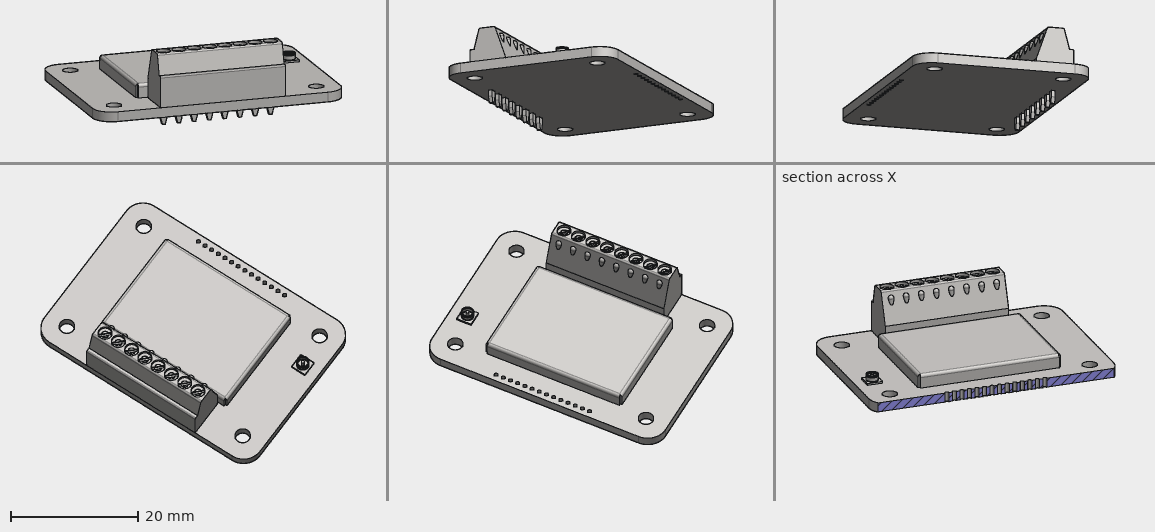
import cadquery as cq


board_width = 29.0
board_length = 41.25
board_thickness = 1.6
board_corner_radius = 3.15
mount_hole_diameter = 2.45
mount_hole_spacing_x = 21.3
mount_hole_spacing_y = 33.68
header_hole_count = 14
header_hole_diameter = 0.6
header_row_length = 16.5
header_row_x = -13.37

can_width = 18.25
can_length = 24.0
can_height = 2.25
can_center_x = -1.07
can_center_y = -0.2
can_bend_radius = 0.5
can_corner_notch = 0.35

total_height = 12.0
block_length = 20.8
block_back_x = 8.3
block_front_x = board_width / 2
block_back_height = 3.15
block_step_height = 5.08
block_step_x = 13.83
block_top_back_x = 10.2
block_top_front_x = 12.9
block_top_round = 0.35
block_step_round = 0.2

terminal_count = 8
terminal_row_length = 17.8
screw_x = 11.55
screw_well_diameter = 2.2
screw_well_depth = 0.5
screw_socket_diameter = 1.1
screw_socket_depth = 0.12
screw_slot_width = 0.4
screw_slot_depth = 0.35
screw_slot_angle = -45

nub_diameter = 1.0
nub_x = 9.85
nub_shoulder_height = 7.15

pin_x = 11.45
pin_thickness = 0.6
pin_width = 1.0
pin_tip_width = 0.45
pin_straight_below_board = 1.0
pin_length_below_board = 2.0

block_height = total_height - pin_length_below_board - board_thickness

connector_x = -4.85
connector_y = 17.62
connector_base_side = 2.55
connector_base_height = 0.3
shell_diameter = 2.0
shell_bore_diameter = 1.7
shell_height = 1.0
shell_groove_diameter = 1.85
shell_groove_bottom = 0.7
shell_groove_top = 0.85
contact_diameter = 0.5


def row_positions(count, row_length):
    """Evenly spaced Y positions of a row centred on the board."""
    pitch = row_length / (count - 1)
    return [i * pitch - row_length / 2 for i in range(count)]


terminal_positions = row_positions(terminal_count, terminal_row_length)


def on_board_top(x, y):
    """Workplane on the board's upper face, centred on x, y."""
    return cq.Workplane("XY", origin=(x, y, board_thickness))


def make_pin(y):
    """Flat solder pin through the board, narrowing in Y towards its tip."""
    taper_z = -pin_straight_below_board
    tip_z = -pin_length_below_board
    return (
        cq.Workplane("YZ", origin=(pin_x - pin_thickness / 2, y, 0))
        .moveTo(-pin_width / 2, board_thickness)
        .lineTo(-pin_width / 2, taper_z)
        .lineTo(-pin_tip_width / 2, tip_z)
        .lineTo(pin_tip_width / 2, tip_z)
        .lineTo(pin_width / 2, taper_z)
        .lineTo(pin_width / 2, board_thickness)
        .close()
        .extrude(pin_thickness)
    )


def make_board():
    """Rounded board with mounting holes, a row of header holes and slots for the pins."""
    board = (
        cq.Workplane("XY")
        .rect(board_width, board_length)
        .extrude(board_thickness)
        .edges("|Z")
        .fillet(board_corner_radius)
    )
    mount_holes = (
        cq.Workplane("XY")
        .rect(mount_hole_spacing_x, mount_hole_spacing_y, forConstruction=True)
        .vertices()
        .circle(mount_hole_diameter / 2)
        .extrude(board_thickness)
    )
    header_holes = (
        cq.Workplane("XY")
        .pushPoints([(header_row_x, y) for y in row_positions(header_hole_count, header_row_length)])
        .circle(header_hole_diameter / 2)
        .extrude(board_thickness)
    )
    pin_slots = (
        cq.Workplane("XY")
        .pushPoints([(pin_x, y) for y in terminal_positions])
        .rect(pin_thickness, pin_width)
        .extrude(board_thickness)
    )
    return board.cut(mount_holes).cut(header_holes).cut(pin_slots)


def make_can():
    """Shield can with bent top edges and square relief notches at its corners."""
    can = (
        on_board_top(can_center_x, can_center_y)
        .rect(can_width, can_length)
        .extrude(can_height)
        .faces(">Z")
        .edges()
        .fillet(can_bend_radius)
    )
    notches = (
        on_board_top(can_center_x, can_center_y)
        .rect(can_width, can_length, forConstruction=True)
        .vertices()
        .rect(2 * can_corner_notch, 2 * can_corner_notch)
        .extrude(can_height)
    )
    return can.cut(notches)


def make_block_housing():
    """Sloped housing of the terminal block, with rounded upper edges."""
    housing = (
        cq.Workplane("XZ", origin=(0, block_length / 2, board_thickness))
        .moveTo(block_back_x, 0)
        .lineTo(block_back_x, block_back_height)
        .lineTo(block_top_back_x, block_height)
        .lineTo(block_top_front_x, block_height)
        .lineTo(block_step_x, block_step_height)
        .lineTo(block_front_x, block_step_height)
        .lineTo(block_front_x, 0)
        .close()
        .extrude(block_length)
    )
    housing = housing.faces(">Z").edges("|Y").fillet(block_top_round)
    step_edge = cq.selectors.NearestToPointSelector((block_front_x, 0, board_thickness + block_step_height))
    return housing.edges(step_edge).fillet(block_step_round)


def make_screw_recess(y):
    """Round well in the housing top, with a shallow centre socket and a diagonal slot in its floor."""
    top_z = board_thickness + block_height
    floor = cq.Workplane("XY", origin=(screw_x, y, top_z - screw_well_depth))
    well = floor.circle(screw_well_diameter / 2).extrude(screw_well_depth)
    socket = floor.circle(screw_socket_diameter / 2).extrude(-screw_socket_depth)
    slot = (
        floor.transformed(rotate=(0, 0, screw_slot_angle))
        .rect(screw_well_diameter, screw_slot_width)
        .extrude(-screw_slot_depth)
        .intersect(floor.circle(screw_well_diameter / 2).extrude(-screw_slot_depth))
    )
    return well.union(socket).union(slot)


def make_nub(y):
    """Upright round nub with a domed top, half sunk into the sloped back of the housing."""
    radius = nub_diameter / 2
    foot_height = block_back_height
    post = (
        cq.Workplane("XY", origin=(nub_x, y, board_thickness + foot_height))
        .circle(radius)
        .extrude(nub_shoulder_height - foot_height)
    )
    dome = cq.Workplane("XY", origin=(nub_x, y, board_thickness + nub_shoulder_height)).sphere(radius)
    return post.union(dome)


def make_terminal_block():
    """Terminal block: housing, screw recesses, nubs and solder pins in one piece."""
    block = make_block_housing()
    for y in terminal_positions:
        block = block.cut(make_screw_recess(y)).union(make_nub(y)).union(make_pin(y))
    return block


def make_connector_base():
    """Square base of the antenna connector."""
    return (
        on_board_top(connector_x, connector_y)
        .rect(connector_base_side, connector_base_side)
        .extrude(connector_base_height)
    )


def on_connector_base():
    """Workplane on the upper face of the connector base."""
    return on_board_top(connector_x, connector_y).workplane(offset=connector_base_height)


def make_connector_shell():
    """Round outer contact of the antenna connector, with a snap groove below its rim."""
    shell = on_connector_base().circle(shell_diameter / 2).circle(shell_bore_diameter / 2).extrude(shell_height)
    groove = (
        on_connector_base()
        .workplane(offset=shell_groove_bottom)
        .circle(shell_diameter / 2)
        .circle(shell_groove_diameter / 2)
        .extrude(shell_groove_top - shell_groove_bottom)
    )
    return shell.cut(groove)


def make_connector_contact():
    """Centre contact of the antenna connector, level with the shell rim."""
    return on_connector_base().circle(contact_diameter / 2).extrude(shell_height)


board = make_board()
can = make_can()
terminal_block = make_terminal_block()
connector_base = make_connector_base()
connector_shell = make_connector_shell()
connector_contact = make_connector_contact()

result = cq.Compound.makeCompound([
    board.val(),
    can.val(),
    terminal_block.val(),
    connector_base.val(),
    connector_shell.val(),
    connector_contact.val(),
])